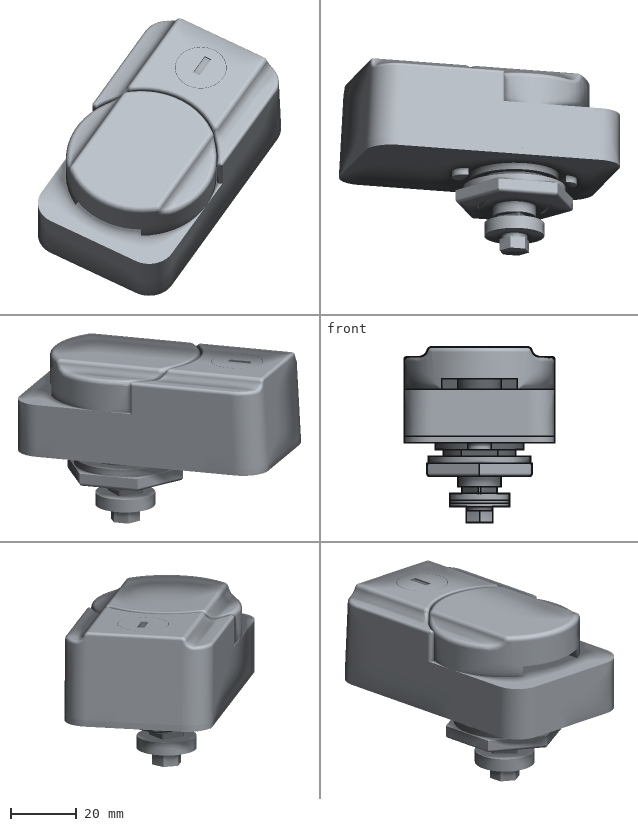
import cadquery as cq
import math

BASE_TOP = 2.0
DECK_Z = 16.4
WING_Z = 26.3
TOP_Z = 29.3

WIDTH = 46.0
LENGTH = 80.0
CORNER_R = 8.0
BACK_DRAFT = 3.2
EDGE_R = 1.0

CREST_X = 14.5
COVE_X = 18.5
CREST_R = 1.5
BLEND_RUN = COVE_X - CREST_X
BLEND_DROP = TOP_Z - WING_Z
BLEND_R_SUM = (BLEND_RUN**2 + BLEND_DROP**2) / (2 * BLEND_DROP)
MEET_X = CREST_X + BLEND_RUN * CREST_R / BLEND_R_SUM
MEET_Z = TOP_Z - BLEND_DROP * CREST_R / BLEND_R_SUM

AXIS_Y = -11.0
KNOB_R = WIDTH / 2
KNOB_EDGE_R = 1.5
KNOB_CLEARANCE = 0.2
HOUSING_FRONT_Y = -1.9
NOTCH_WIDTH = 23.1
NOTCH_HEIGHT = 3.2
SHAFT_D = 13.2
SHAFT_BOTTOM = -13.4
SQUARE_SIDE = 8.1
SQUARE_CORNER_D = 10.8

LOCK_Y = 25.0
LOCK_D = 19.2
LOCK_DEPTH = 10.0
CORE_D = 15.5
CORE_GAP = 0.1
KEY_WIDTH = 2.3
KEY_LENGTH = 7.0
KEY_Y = 25.85
KEY_DEPTH = 0.5

FLANGE_D = 27.1
FLANGE_THICKNESS = 2.0
BUSH_D = 22.2
BUSH_FLATS = 19.2
STUD_R = 3.6
STUD_REACH = 19.6
STUD_STRAIGHT = 0.6
WASHER_D = 31.2
WASHER_TOP = -4.0
WASHER_THICKNESS = 2.2
NUT_TOP = WASHER_TOP - WASHER_THICKNESS
NUT_HEIGHT = 4.0
NUT_FLATS = 32.1
NUT_EDGE_R = 1.0
NUT_BOTTOM = NUT_TOP - NUT_HEIGHT

DISC_D = 18.3
UPPER_DISC_TOP = -15.4
UPPER_DISC_THICKNESS = 2.0
LOWER_DISC_TOP = UPPER_DISC_TOP - UPPER_DISC_THICKNESS
LOWER_DISC_THICKNESS = 1.0
SCREW_TOP = LOWER_DISC_TOP - LOWER_DISC_THICKNESS
SCREW_FLANGE_THICKNESS = 1.0
SCREW_NECK_D = 8.0
SCREW_NECK_LENGTH = 1.3
SCREW_HEAD_FLATS = 8.1
SCREW_HEAD_HEIGHT = 3.6

TOLERANCE = 0.01


def cylinder(x, y, diameter, bottom, top):
    """Upright cylinder between two heights."""
    disc = cq.Workplane("XY", origin=(x, y, bottom)).circle(diameter / 2)
    return disc.extrude(top - bottom)


def axis_cylinder(diameter, bottom, top):
    """Upright cylinder on the knob axis."""
    return cylinder(0, AXIS_Y, diameter, bottom, top)


def hexagon(across_flats, bottom, top):
    """Hexagonal prism on the knob axis with two corners pointing along Y."""
    corner_d = across_flats / math.cos(math.pi / 6)
    prism = cq.Workplane("XY", origin=(0, AXIS_Y, bottom)).polygon(6, corner_d).extrude(top - bottom)
    return prism.rotate((0, AXIS_Y, 0), (0, AXIS_Y, 1), 30)


def square_bar(bottom, top):
    """Square bar set corner-on to X and Y, with its corners turned round."""
    bar = cq.Workplane("XY", origin=(0, AXIS_Y, bottom)).rect(SQUARE_SIDE, SQUARE_SIDE).extrude(top - bottom)
    bar = bar.rotate((0, AXIS_Y, 0), (0, AXIS_Y, 1), 45)
    return bar.intersect(axis_cylinder(SQUARE_CORNER_D, bottom, top))


def ribbed_profile():
    """Solid below the rib, coves and wings; it trims the tops of the housing and the knob."""
    side = WIDTH
    profile = (
        cq.Workplane("XZ", origin=(0, LENGTH, 0))
        .moveTo(-side, 0)
        .lineTo(side, 0)
        .lineTo(side, WING_Z)
        .lineTo(COVE_X, WING_Z)
        .tangentArcPoint((MEET_X, MEET_Z), relative=False)
        .tangentArcPoint((CREST_X, TOP_Z), relative=False)
        .lineTo(-CREST_X, TOP_Z)
        .tangentArcPoint((-MEET_X, MEET_Z), relative=False)
        .tangentArcPoint((-COVE_X, WING_Z), relative=False)
        .lineTo(-side, WING_Z)
        .close()
    )
    return profile.extrude(2 * LENGTH)


def housing_block():
    """Round-cornered block with a drafted back, trimmed to the ribbed top."""
    back_y = LENGTH / 2
    draft_run = (TOP_Z - BASE_TOP) * math.tan(math.radians(BACK_DRAFT))
    block = (
        cq.Workplane("YZ", origin=(-WIDTH / 2, 0, 0))
        .moveTo(-LENGTH / 2, BASE_TOP)
        .lineTo(back_y, BASE_TOP)
        .lineTo(back_y - draft_run, TOP_Z)
        .lineTo(-LENGTH / 2, TOP_Z)
        .close()
        .extrude(WIDTH)
    )
    upright_edges = block.edges("not(#Z)")
    return upright_edges.fillet(CORNER_R).intersect(ribbed_profile())


def cut_deck(body):
    """Body with the open deck and the round recess behind it cleared for the knob."""
    deck_space = cq.Workplane("XY").box(2 * WIDTH, LENGTH, TOP_Z, centered=(True, False, False))
    deck_space = deck_space.translate((0, HOUSING_FRONT_Y - LENGTH, DECK_Z))
    knob_space = axis_cylinder(2 * (KNOB_R + KNOB_CLEARANCE), DECK_Z, 2 * TOP_Z)
    return body.cut(deck_space).cut(knob_space)


def make_housing():
    block = cut_deck(housing_block())

    def is_outer_rim(edge):
        middle = edge.Center()
        on_side = abs(abs(middle.x) - WIDTH / 2) < TOLERANCE
        on_back = middle.y > LENGTH / 2 - CORNER_R
        return middle.z > WING_Z - TOLERANCE and (on_side or on_back)

    def is_front_rim(edge):
        middle = edge.Center()
        on_front = middle.y < KNOB_R + AXIS_Y and abs(middle.x) < WIDTH / 2 - TOLERANCE
        return middle.z > WING_Z - TOLERANCE and on_front

    def is_front_corner(edge):
        middle = edge.Center()
        on_front = abs(middle.y - HOUSING_FRONT_Y) < TOLERANCE
        on_side = abs(abs(middle.x) - WIDTH / 2) < TOLERANCE
        upright = DECK_Z + TOLERANCE < middle.z < WING_Z - TOLERANCE
        return on_front and on_side and upright

    outer_rounded = block.edges().filter(is_outer_rim).fillet(EDGE_R)
    front_rounded = block.edges().filter(is_front_rim).fillet(EDGE_R)
    corners_rounded = block.edges().filter(is_front_corner).fillet(EDGE_R)
    body = outer_rounded.intersect(front_rounded).intersect(corners_rounded)

    body = body.cut(cylinder(0, LOCK_Y, LOCK_D, TOP_Z - LOCK_DEPTH, TOP_Z))
    return body.cut(axis_cylinder(SHAFT_D, BASE_TOP, DECK_Z))


def make_base():
    """Base plate with the flanged mounting bush and two locating studs in one piece."""
    plate = cq.Workplane("XY").rect(WIDTH, LENGTH).extrude(BASE_TOP).edges("|Z").fillet(CORNER_R)
    flange = axis_cylinder(FLANGE_D, -FLANGE_THICKNESS, 0)
    bush = axis_cylinder(BUSH_D, NUT_BOTTOM, 0)
    flats = cq.Workplane("XY").box(BUSH_D, BUSH_FLATS, 2 * LENGTH).translate((0, AXIS_Y, 0))
    base = plate.union(flange).union(bush.intersect(flats))
    for side in (1, -1):
        inner = side * (STUD_REACH - STUD_R - STUD_STRAIGHT)
        shoulder = side * (STUD_REACH - STUD_R)
        stud = (
            cq.Workplane("XY", origin=(0, AXIS_Y, -FLANGE_THICKNESS))
            .moveTo(-STUD_R, inner)
            .lineTo(-STUD_R, shoulder)
            .threePointArc((0, side * STUD_REACH), (STUD_R, shoulder))
            .lineTo(STUD_R, inner)
            .close()
            .extrude(FLANGE_THICKNESS)
        )
        base = base.union(stud)
    return base.cut(axis_cylinder(SHAFT_D, NUT_BOTTOM, BASE_TOP))


def make_knob():
    knob = axis_cylinder(2 * KNOB_R, DECK_Z, TOP_Z).intersect(ribbed_profile())

    def on_rim(edge):
        middle = edge.Center()
        return middle.z > WING_Z - TOLERANCE and edge.geomType() != "LINE"

    knob = knob.edges().filter(on_rim).fillet(KNOB_EDGE_R)

    notch = cq.Workplane("XY").box(NOTCH_WIDTH, 2 * KNOB_R, NOTCH_HEIGHT, centered=(True, False, False))
    knob = knob.cut(notch.translate((0, AXIS_Y - 2 * KNOB_R, DECK_Z)))

    shaft = axis_cylinder(SHAFT_D, SHAFT_BOTTOM, DECK_Z + NOTCH_HEIGHT)
    return knob.union(shaft).union(square_bar(SCREW_TOP, SHAFT_BOTTOM))


def make_lock_ring():
    bottom = TOP_Z - LOCK_DEPTH
    bore = cylinder(0, LOCK_Y, CORE_D + 2 * CORE_GAP, bottom, TOP_Z)
    return cylinder(0, LOCK_Y, LOCK_D, bottom, TOP_Z).cut(bore)


def make_lock_core():
    keyway = cq.Workplane("XY").box(KEY_WIDTH, KEY_LENGTH, 2 * KEY_DEPTH).translate((0, KEY_Y, TOP_Z))
    return cylinder(0, LOCK_Y, CORE_D, TOP_Z - LOCK_DEPTH, TOP_Z).cut(keyway)


def make_washer():
    bore = axis_cylinder(BUSH_D, NUT_TOP, WASHER_TOP)
    return axis_cylinder(WASHER_D, NUT_TOP, WASHER_TOP).cut(bore)


def make_nut():
    nut = hexagon(NUT_FLATS, NUT_BOTTOM, NUT_TOP).faces("<Z").edges().fillet(NUT_EDGE_R)
    return nut.cut(axis_cylinder(BUSH_D, NUT_BOTTOM, NUT_TOP))


def make_disc(top, thickness):
    """Round disc with a hole that fits the square end of the shaft."""
    bottom = top - thickness
    return axis_cylinder(DISC_D, bottom, top).cut(square_bar(bottom, top))


def make_screw():
    """Flanged hexagon-head screw closing the end of the shaft."""
    flange_bottom = SCREW_TOP - SCREW_FLANGE_THICKNESS
    head_top = flange_bottom - SCREW_NECK_LENGTH
    flange = axis_cylinder(DISC_D, flange_bottom, SCREW_TOP)
    neck = axis_cylinder(SCREW_NECK_D, head_top, flange_bottom)
    head = hexagon(SCREW_HEAD_FLATS, head_top - SCREW_HEAD_HEIGHT, head_top)
    return flange.union(neck).union(head)


housing = make_housing()
base = make_base()
knob = make_knob()
lock_ring = make_lock_ring()
lock_core = make_lock_core()
washer = make_washer()
nut = make_nut()
upper_disc = make_disc(UPPER_DISC_TOP, UPPER_DISC_THICKNESS)
lower_disc = make_disc(LOWER_DISC_TOP, LOWER_DISC_THICKNESS)
screw = make_screw()

bodies = [housing, base, knob, lock_ring, lock_core, washer, nut, upper_disc, lower_disc, screw]
result = cq.Compound.makeCompound([body.solids().val() for body in bodies])